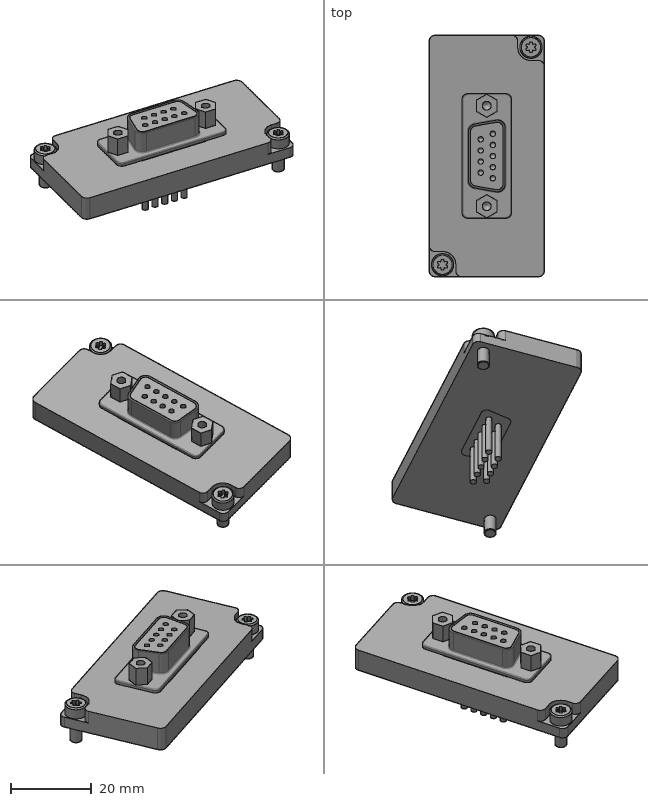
import cadquery as cq
import math


PLATE_X = 28.7
PLATE_Y = 60.0
PLATE_HEIGHT = 6.3
PLATE_CORNER_RADIUS = 1.55

SCREW_X = 11.0
SCREW_Y = 27.0
SCREW_POSITIONS = [(-SCREW_X, -SCREW_Y), (SCREW_X, SCREW_Y)]
HEAD_DIAMETER = 5.5
HEAD_HEIGHT = 3.0
HEAD_CHAMFER = 0.35
SHANK_DIAMETER = 3.0
SHANK_PROTRUSION = 5.0
SHANK_CHAMFER = 0.2
STAR_CORE_DIAMETER = 1.8
STAR_TIP_DIAMETER = 2.7
STAR_LOBE_WIDTH = 0.7
STAR_LOBES = 6
STAR_DEPTH = 1.5

POCKET_DEPTH = 3.4
POCKET_RADIUS = 3.3
POCKET_MOUTH_RADIUS = 1.5
POCKET_FLOOR = PLATE_HEIGHT - POCKET_DEPTH
POCKET_X = PLATE_X / 2 - SCREW_X + POCKET_RADIUS
POCKET_Y = PLATE_Y / 2 - SCREW_Y + POCKET_RADIUS

FLANGE_X = 12.35
FLANGE_Y = 30.95
FLANGE_CORNER_RADIUS = 1.5
FLANGE_BOTTOM = PLATE_HEIGHT + 0.1
FLANGE_TOP = PLATE_HEIGHT + 1.1
FLANGE_EDGE_RADIUS = 0.25
SHELL_TOP = PLATE_HEIGHT + 7.0
SHELL_X = 9.2
SHELL_MEAN_Y = 17.0
SHELL_CORNER_RADIUS = 2.0
SHELL_TAPER = math.radians(10)
SHELL_WALL = 0.55
SHELL_RIM_RADIUS = 0.2
SHELL_FOOT_RADIUS = 0.2

INSULATOR_TOP = SHELL_TOP - SHELL_RIM_RADIUS
INSULATOR_BASE_X = FLANGE_X
INSULATOR_BASE_Y = 18.0

CONTACT_ROWS = [(-1.5, 4), (1.5, 5)]
CONTACT_PITCH = 2.75
SOCKET_DIAMETER = 1.3
SOCKET_DEPTH = 4.8
TAIL_DIAMETER = 1.55
TAIL_LENGTH = 11.7

STANDOFF_Y = 12.5
STANDOFF_ACROSS_FLATS = 5.0
STANDOFF_TOP = PLATE_HEIGHT + 5.95
STANDOFF_HOLE_DIAMETER = 2.15
STANDOFF_HOLE_DEPTH = 3.6
DRILL_POINT_ANGLE = math.radians(118)


def rounded_block(size_x, size_y, bottom, top, corner_radius):
    """A block centred on the Z axis, with its upright edges rounded."""
    block = cq.Workplane("XY").workplane(offset=bottom).rect(size_x, size_y).extrude(top - bottom)
    return block.edges("|Z").fillet(corner_radius)


def cylinder(diameter, bottom, top, position=(0, 0)):
    base = cq.Workplane("XY", origin=(*position, bottom))
    return base.circle(diameter / 2).extrude(top - bottom)


def d_block(inset, bottom, top):
    """The D shape of the shell's outside, moved inward by an inset."""
    half_x = SHELL_X / 2 - inset
    mean_half_y = SHELL_MEAN_Y / 2 - inset / math.cos(SHELL_TAPER)
    taper_y = half_x * math.tan(SHELL_TAPER)
    narrow_y = mean_half_y - taper_y
    wide_y = mean_half_y + taper_y
    corners = [(-half_x, -narrow_y), (half_x, -wide_y), (half_x, wide_y), (-half_x, narrow_y)]
    block = cq.Workplane("XY").workplane(offset=bottom).polyline(corners).close().extrude(top - bottom)
    return block.edges("|Z").fillet(SHELL_CORNER_RADIUS - inset)


def drilled_hole(diameter, depth, top):
    """A blind hole on the Z axis with a conical drill point."""
    radius = diameter / 2
    point = radius / math.tan(DRILL_POINT_ANGLE / 2)
    profile = [(0, top), (radius, top), (radius, top - depth), (0, top - depth - point)]
    return cq.Workplane("XZ").polyline(profile).close().revolve(360, (0, 0, 0), (0, 1, 0))


def contact_positions():
    positions = []
    for row_x, count in CONTACT_ROWS:
        for index in range(count):
            positions.append((row_x, (index - (count - 1) / 2) * CONTACT_PITCH))
    return positions


def head_pocket():
    """The pocket at the front left corner: its mouth flares into both plate sides."""
    left = -PLATE_X / 2
    front = -PLATE_Y / 2
    inner_x = left + POCKET_X
    inner_y = front + POCKET_Y
    mouth = POCKET_MOUTH_RADIUS
    outline = (
        cq.Workplane("XY").workplane(offset=POCKET_FLOOR)
        .moveTo(left, front)
        .lineTo(inner_x + mouth, front)
        .radiusArc((inner_x, front + mouth), mouth)
        .lineTo(inner_x, -SCREW_Y)
        .radiusArc((-SCREW_X, inner_y), -POCKET_RADIUS)
        .lineTo(left + mouth, inner_y)
        .radiusArc((left, inner_y + mouth), mouth)
        .close()
    )
    return outline.extrude(POCKET_DEPTH)


def make_plate():
    plate = rounded_block(PLATE_X, PLATE_Y, 0, PLATE_HEIGHT, PLATE_CORNER_RADIUS)
    pocket = head_pocket()
    plate = plate.cut(pocket)
    plate = plate.cut(pocket.rotate((0, 0, 0), (0, 0, 1), 180))
    for position in SCREW_POSITIONS:
        plate = plate.cut(cylinder(SHANK_DIAMETER, 0, PLATE_HEIGHT, position))
    return plate.cut(d_block(SHELL_WALL, 0, PLATE_HEIGHT))


def star_recess(top):
    """A six-lobed driver recess, with one lobe pointing along +Y."""
    bottom = top - STAR_DEPTH
    recess = cylinder(STAR_CORE_DIAMETER, bottom, top)
    slots = cq.Workplane("XY").workplane(offset=bottom)
    lobe = slots.slot2D(STAR_TIP_DIAMETER, STAR_LOBE_WIDTH, 90).extrude(STAR_DEPTH)
    for index in range(STAR_LOBES // 2):
        recess = recess.union(lobe.rotate((0, 0, 0), (0, 0, 1), index * 360 / STAR_LOBES))
    return recess


def make_screw(position):
    head_top = POCKET_FLOOR + HEAD_HEIGHT
    head = cylinder(HEAD_DIAMETER, POCKET_FLOOR, head_top).faces(">Z").chamfer(HEAD_CHAMFER)
    shank = cylinder(SHANK_DIAMETER, -SHANK_PROTRUSION, POCKET_FLOOR).faces("<Z").chamfer(SHANK_CHAMFER)
    screw = head.union(shank).cut(star_recess(head_top))
    return screw.translate((*position, 0))


def make_shell():
    flange = rounded_block(FLANGE_X, FLANGE_Y, FLANGE_BOTTOM, FLANGE_TOP, FLANGE_CORNER_RADIUS)
    flange = flange.faces(">Z").edges().fillet(FLANGE_EDGE_RADIUS)
    shell = flange.union(d_block(0, FLANGE_BOTTOM, SHELL_TOP))
    flange_face = shell.faces("+Z").faces("<Z").val()
    foot_edges = flange_face.innerWires()[0].Edges()
    shell = shell.newObject(foot_edges).fillet(SHELL_FOOT_RADIUS)
    shell = shell.cut(d_block(SHELL_WALL, FLANGE_BOTTOM, SHELL_TOP))
    return shell.faces(">Z").edges().fillet(SHELL_RIM_RADIUS)


def make_insulator():
    base = cq.Workplane("XY").workplane(offset=PLATE_HEIGHT).rect(INSULATOR_BASE_X, INSULATOR_BASE_Y)
    insulator = base.extrude(FLANGE_BOTTOM - PLATE_HEIGHT)
    insulator = insulator.union(d_block(SHELL_WALL, 0, INSULATOR_TOP))
    socket = drilled_hole(SOCKET_DIAMETER, SOCKET_DEPTH, INSULATOR_TOP)
    for position in contact_positions():
        insulator = insulator.cut(socket.translate((*position, 0)))
        insulator = insulator.union(cylinder(TAIL_DIAMETER, -TAIL_LENGTH, 0, position))
    return insulator


def make_standoff(center_y):
    across_corners = STANDOFF_ACROSS_FLATS / math.cos(math.pi / 6)
    hexagon = cq.Workplane("XY").workplane(offset=FLANGE_TOP).polygon(6, across_corners)
    standoff = hexagon.extrude(STANDOFF_TOP - FLANGE_TOP).rotate((0, 0, 0), (0, 0, 1), 90)
    standoff = standoff.cut(drilled_hole(STANDOFF_HOLE_DIAMETER, STANDOFF_HOLE_DEPTH, STANDOFF_TOP))
    return standoff.translate((0, center_y, 0))


plate = make_plate()
screws = [make_screw(position) for position in SCREW_POSITIONS]
shell = make_shell()
insulator = make_insulator()
standoffs = [make_standoff(center_y) for center_y in (-STANDOFF_Y, STANDOFF_Y)]

result = cq.Compound.makeCompound([
    plate.val(),
    *[screw.val() for screw in screws],
    shell.val(),
    insulator.val(),
    *[standoff.val() for standoff in standoffs],
])